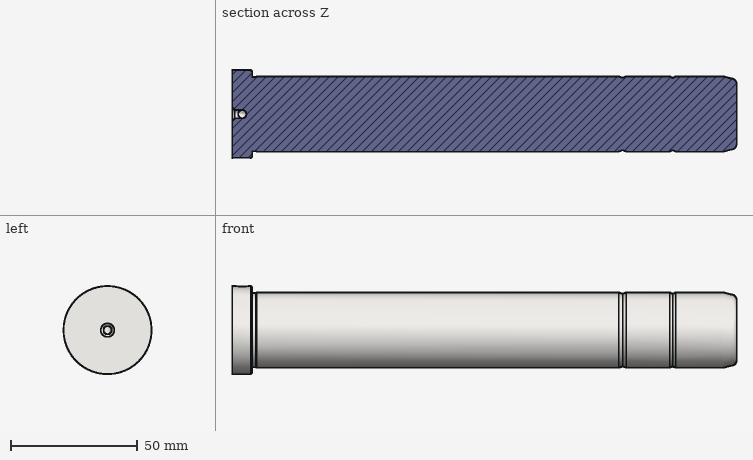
import cadquery as cq

length = 200.0
head_radius = 17.5
head_thickness = 8.0
head_chamfer = 0.5
shaft_radius = 15.0

undercut_depth = 0.2
undercut_end = 9.8
undercut_runout = 0.5

groove_depth = 0.5
groove_spans = [(153.2, 156.2), (173.5, 175.8)]

taper_start = 194.5
nose_radius = 2.5
taper_drop = 0.8

port_diameter = 3.2
port_mouth_diameter = 5.5
radial_port_x = head_thickness / 2
drill_point_height = 1.0
radial_port_depth = head_radius + port_diameter / 2


def pin_body():
    """Revolve the headed pin profile about the X axis."""
    undercut_radius = shaft_radius - undercut_depth
    taper_radius = shaft_radius - taper_drop
    return (
        cq.Workplane("XY")
        .moveTo(0, 0)
        .lineTo(0, head_radius)
        .lineTo(head_thickness - head_chamfer, head_radius)
        .lineTo(head_thickness, head_radius - head_chamfer)
        .lineTo(head_thickness, undercut_radius)
        .lineTo(undercut_end - undercut_runout, undercut_radius)
        .lineTo(undercut_end, shaft_radius)
        .lineTo(taper_start, shaft_radius)
        .lineTo(length - nose_radius, taper_radius)
        .radiusArc((length, taper_radius - nose_radius), nose_radius)
        .lineTo(length, 0)
        .close()
        .revolve(360, (0, 0, 0), (1, 0, 0))
    )


def ring_groove(start, end):
    """V-shaped ring to be cut from the shaft between two X positions."""
    return (
        cq.Workplane("XY")
        .moveTo(start, shaft_radius)
        .lineTo((start + end) / 2, shaft_radius - groove_depth)
        .lineTo(end, shaft_radius)
        .close()
        .revolve(360, (0, 0, 0), (1, 0, 0))
    )


def port(mouth, direction, depth):
    """Drilled port with a 45 degree countersink at its mouth."""
    mouth_radius = port_mouth_diameter / 2
    bore = cq.Solid.makeCylinder(port_diameter / 2, depth, mouth, direction)
    countersink = cq.Solid.makeCone(
        mouth_radius, port_diameter / 2, mouth_radius - port_diameter / 2, mouth, direction
    )
    return cq.Workplane(bore).union(cq.Workplane(countersink))


def drill_point():
    """Conical bottom left by the drill at the end of the radial port."""
    base_center = cq.Vector(radial_port_x, 0, head_radius - radial_port_depth)
    cone = cq.Solid.makeCone(port_diameter / 2, 0, drill_point_height, base_center, cq.Vector(0, 0, -1))
    return cq.Workplane(cone)


result = pin_body()
for groove_start, groove_end in groove_spans:
    result = result.cut(ring_groove(groove_start, groove_end))

axial_port = port(cq.Vector(0, 0, 0), cq.Vector(1, 0, 0), radial_port_x)
radial_port = port(cq.Vector(radial_port_x, 0, head_radius), cq.Vector(0, 0, -1), radial_port_depth)
result = result.cut(axial_port).cut(radial_port.union(drill_point()))